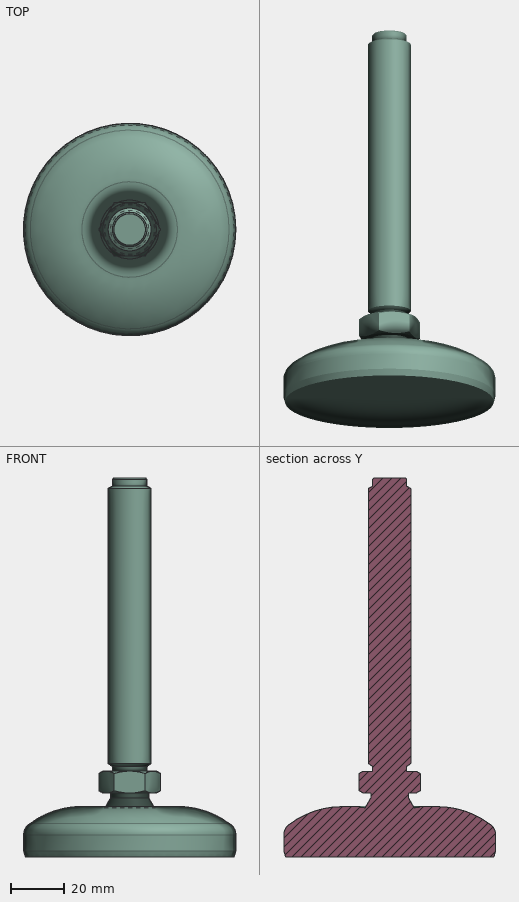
import cadquery as cq
import math

AXIS_START = (0, 0, 0)
AXIS_END = (0, 1, 0)

foot_dia = 79.6
base_dia = 78.2
base_height = 2.4
wall_top = 8.4
rim_dia = 74.5
rim_height = 12.7
dome_top_dia = 35.8
foot_height = 19.0

seat_dia = 22.0
socket_dia = 19.0
step_depth = 0.3
socket_depth = 2 * step_depth

neck_dia = 14.4
cone_top = 22.2
cone_dia_at_foot = 17.9

hex_flats = 20.0
hex_bottom = 24.0
hex_height = 8.2
hex_chamfer_angle = 30.0

total_height = 142.2
rod_dia = 16.0
root_dia = 13.0
undercut_top = 34.0
bottom_bevel_height = 1.1
top_bevel_height = 0.9
tip_length = 3.1
tip_chamfer = 0.5


def make_foot():
    """Revolve the foot; its dome meets the flat top tangentially."""
    foot_radius = foot_dia / 2
    rim_radius = rim_dia / 2
    flat_radius = dome_top_dia / 2
    return (
        cq.Workplane("XZ")
        .moveTo(0, 0)
        .lineTo(base_dia / 2, 0)
        .lineTo(foot_radius, base_height)
        .lineTo(foot_radius, wall_top)
        .tangentArcPoint((rim_radius, rim_height), relative=False)
        .threePointArc(dome_point(rim_radius, flat_radius), (flat_radius, foot_height))
        .lineTo(0, foot_height)
        .close()
        .revolve(360, AXIS_START, AXIS_END)
    )


def dome_point(outer_radius, inner_radius):
    """Middle point of the dome arc, which is level at its inner end."""
    run = outer_radius - inner_radius
    drop = foot_height - rim_height
    half_sweep = math.atan2(drop, run)
    dome_radius = run / math.sin(2 * half_sweep)
    return (
        inner_radius + dome_radius * math.sin(half_sweep),
        foot_height - dome_radius * (1 - math.cos(half_sweep)),
    )


def make_recess(diameter, depth):
    """Round cutter sunk into the flat top of the foot."""
    return (
        cq.Workplane("XY", origin=(0, 0, foot_height - depth))
        .circle(diameter / 2)
        .extrude(depth)
    )


def make_spindle():
    """Revolve the cone, neck, undercut, rod and tip about the Z axis."""
    cone_slope = (cone_dia_at_foot - neck_dia) / 2 / (cone_top - foot_height)
    cone_bottom = foot_height - socket_depth
    cone_radius = neck_dia / 2 + cone_slope * (cone_top - cone_bottom)
    tip_bottom = total_height - tip_length
    outline = [
        (0, cone_bottom),
        (cone_radius, cone_bottom),
        (neck_dia / 2, cone_top),
        (neck_dia / 2, hex_bottom),
        (root_dia / 2, hex_bottom),
        (root_dia / 2, undercut_top),
        (rod_dia / 2, undercut_top + bottom_bevel_height),
        (rod_dia / 2, tip_bottom - top_bevel_height),
        (root_dia / 2, tip_bottom),
        (root_dia / 2, total_height - tip_chamfer),
        (root_dia / 2 - tip_chamfer, total_height),
        (0, total_height),
    ]
    return cq.Workplane("XZ").polyline(outline).close().revolve(360, AXIS_START, AXIS_END)


def make_hex():
    """Hex nut with a corner on the X axis, both ends chamfered by a cone."""
    corner_radius = hex_flats / math.sqrt(3)
    face_radius = hex_flats / 2
    chamfer_height = (corner_radius - face_radius) * math.tan(math.radians(hex_chamfer_angle))
    hex_top = hex_bottom + hex_height
    prism = (
        cq.Workplane("XY", origin=(0, 0, hex_bottom))
        .polygon(6, 2 * corner_radius)
        .extrude(hex_height)
    )
    envelope = [
        (0, hex_bottom),
        (face_radius, hex_bottom),
        (corner_radius, hex_bottom + chamfer_height),
        (corner_radius, hex_top - chamfer_height),
        (face_radius, hex_top),
        (0, hex_top),
    ]
    cones = cq.Workplane("XZ").polyline(envelope).close().revolve(360, AXIS_START, AXIS_END)
    return prism.intersect(cones)


foot = make_foot().cut(make_recess(seat_dia, step_depth)).cut(make_recess(socket_dia, socket_depth))
result = foot.union(make_spindle()).union(make_hex())